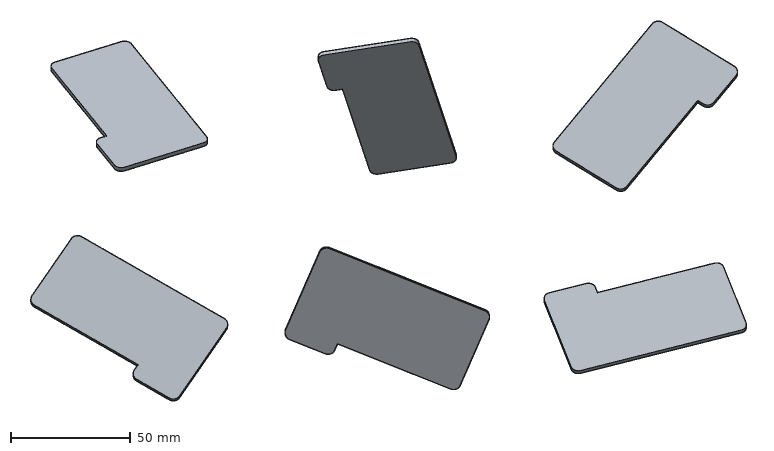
import cadquery as cq

length = 76.95
width = 43.25
thickness = 2.0

tab_length = 22.5
tab_depth = 6.0

corner_radius = 3.15

right = length / 2
left = -right
back = width / 2
front = -back
tab_left = right - tab_length
main_front = front + tab_depth

outline = [
    (left, back),
    (right, back),
    (right, front),
    (tab_left, front),
    (tab_left, main_front),
    (left, main_front),
]
plate = cq.Workplane("XY").polyline(outline).close().extrude(thickness)

inner_corner = cq.Vector(tab_left, main_front, thickness / 2)
outer_corners = [
    edge
    for edge in plate.edges("|Z").vals()
    if (edge.Center() - inner_corner).Length > corner_radius
]
result = plate.newObject(outer_corners).fillet(corner_radius)